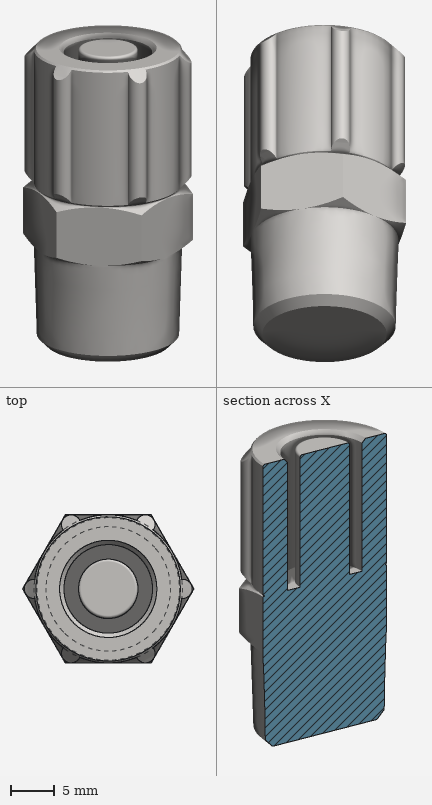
import cadquery as cq
import math

total_height = 35.5
hex_top = 19.03
nut_bottom = hex_top
hex_bottom = 12.0
thread_top = 11.8
thread_chamfer = 1.03

across_flats = 17.0
flat_radius = across_flats / 2
corner_radius = flat_radius / math.cos(math.radians(30))
hex_chamfer_angle = 30.0

thread_top_radius = flat_radius
thread_end_radius = 8.15

nut_radius = 8.5
nut_face_radius = 8.27
rib_count = 6
rib_radius = 1.1
rib_tip_radius = 9.62
rib_center_radius = rib_tip_radius - rib_radius

recess_radius = 5.08
recess_chamfer = 0.5
recess_depth = total_height - nut_bottom
spigot_radius = 3.4
spigot_rounding = 0.32


def revolve_profile(points):
    """Turn a closed (radius, height) outline about the Z axis."""
    return cq.Workplane("XZ").polyline(points).close().revolve(360, (0, 0), (0, 1))


def make_thread():
    """Tapered shank with a chamfered end and a short straight collar under the hexagon."""
    return revolve_profile([
        (0, 0),
        (thread_end_radius - thread_chamfer, 0),
        (thread_end_radius, thread_chamfer),
        (thread_top_radius, thread_top),
        (thread_top_radius, hex_bottom),
        (0, hex_bottom),
    ])


def make_hexagon():
    """Hexagonal prism whose corners are cut by a cone at both ends."""
    prism = (
        cq.Workplane("XY", origin=(0, 0, hex_bottom))
        .polygon(6, 2 * corner_radius)
        .extrude(hex_top - hex_bottom)
    )
    corner_drop = (corner_radius - flat_radius) * math.tan(math.radians(hex_chamfer_angle))
    envelope = revolve_profile([
        (0, hex_bottom),
        (flat_radius, hex_bottom),
        (corner_radius, hex_bottom + corner_drop),
        (corner_radius, hex_top - corner_drop),
        (flat_radius, hex_top),
        (0, hex_top),
    ])
    return prism.intersect(envelope)


def make_nut():
    """Round nut with grip ribs, body and ribs sharing one 45 degree chamfer at each end."""
    nut_height = total_height - nut_bottom
    base = cq.Workplane("XY", origin=(0, 0, nut_bottom))
    body = base.circle(nut_radius).extrude(nut_height)
    ribs = base.polarArray(rib_center_radius, 0, 360, rib_count).circle(rib_radius).extrude(nut_height)
    rib_chamfer = rib_tip_radius - nut_face_radius
    envelope = revolve_profile([
        (0, nut_bottom),
        (nut_face_radius, nut_bottom),
        (rib_tip_radius, nut_bottom + rib_chamfer),
        (rib_tip_radius, total_height - rib_chamfer),
        (nut_face_radius, total_height),
        (0, total_height),
    ])
    return body.union(ribs).intersect(envelope)


def make_recess():
    """Ring-shaped cut with a chamfered mouth that leaves the round-edged spigot standing."""
    floor = total_height - recess_depth
    bore = revolve_profile([
        (0, floor),
        (recess_radius, floor),
        (recess_radius, total_height - recess_chamfer),
        (recess_radius + recess_chamfer, total_height),
        (0, total_height),
    ])
    spigot = (
        cq.Workplane("XY", origin=(0, 0, floor))
        .circle(spigot_radius)
        .extrude(recess_depth)
        .faces(">Z").edges().fillet(spigot_rounding)
    )
    return bore.cut(spigot)


result = make_thread().union(make_hexagon()).union(make_nut()).cut(make_recess())